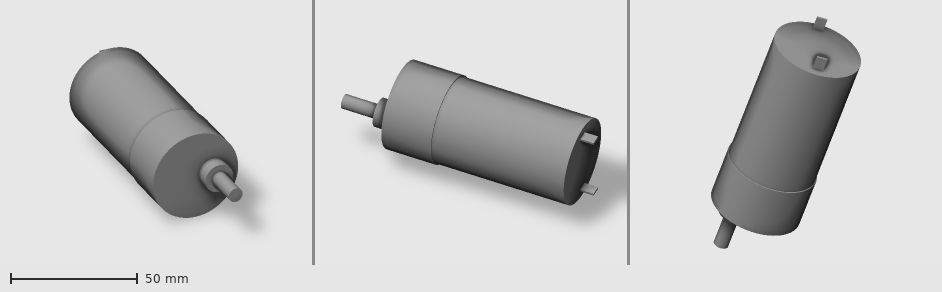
import cadquery as cq

total_length = 105.5
terminal_length = 5.8
can_length = 57.2
gearbox_length = 21.4
boss_length = 6.0

can_diameter = 36.0
gearbox_diameter = 37.0
boss_diameter = 12.0
shaft_diameter = 6.0
shaft_offset = 7.5

terminal_width = 4.2
terminal_thickness = 1.0
terminal_spacing = 28.0

can_start = terminal_length
gearbox_start = can_start + can_length
boss_start = gearbox_start + gearbox_length
shaft_start = boss_start + boss_length
shaft_length = total_length - shaft_start


def cylinder_along_x(start, length, diameter, y=0.0):
    """Solid cylinder parallel to X, beginning at x = start."""
    return (
        cq.Workplane("YZ", origin=(start, y, 0))
        .circle(diameter / 2)
        .extrude(length)
    )


def terminal(z):
    """Flat connection tab sticking out of the rear face of the can."""
    return (
        cq.Workplane("YZ", origin=(0, 0, z))
        .rect(terminal_width, terminal_thickness)
        .extrude(terminal_length)
    )


result = cylinder_along_x(can_start, can_length, can_diameter)
result = result.union(cylinder_along_x(gearbox_start, gearbox_length, gearbox_diameter))

result = result.union(cylinder_along_x(boss_start, boss_length, boss_diameter, shaft_offset))
result = result.union(cylinder_along_x(shaft_start, shaft_length, shaft_diameter, shaft_offset))

for side in (-1, 1):
    result = result.union(terminal(side * terminal_spacing / 2))